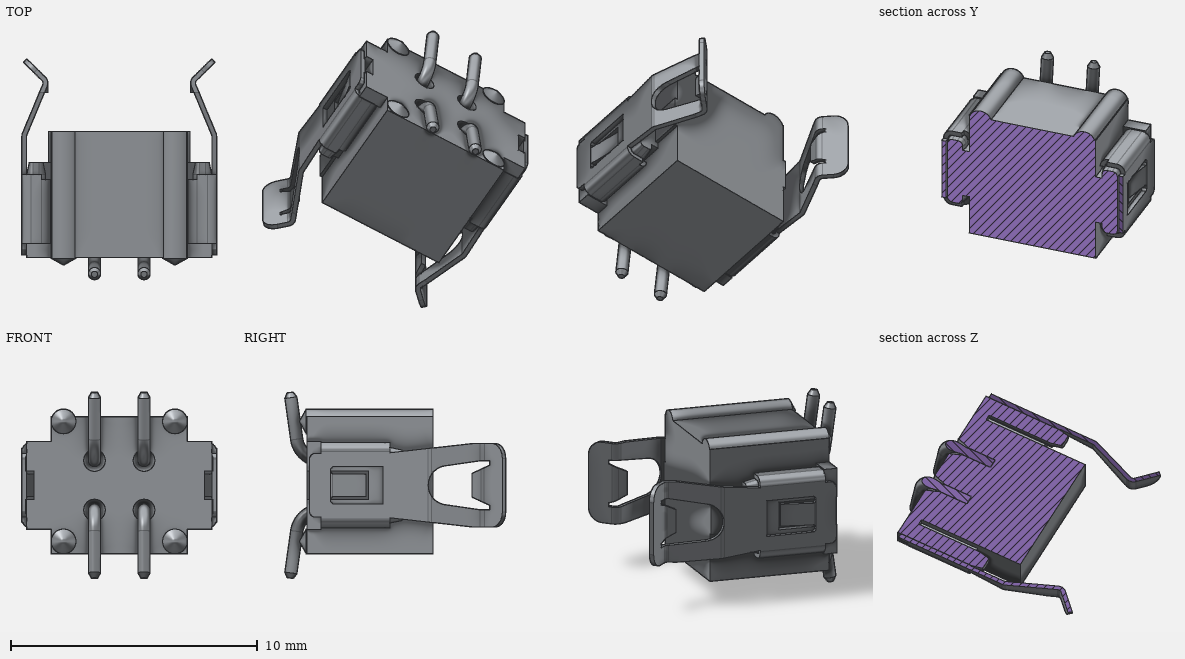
import cadquery as cq
import math


BODY_HALF_X = 2.76
BODY_HALF_Z = 2.78
BODY_DEPTH = 5.12
LEDGE_HALF_X = 2.88
LEDGE_HALF_Z = 0.77

RIB_RADIUS = 0.5
RIB_X = BODY_HALF_X - RIB_RADIUS
TOP_RIB_Z = 2.59
LOW_CONE_Z = RIB_RADIUS - BODY_HALF_Z
RIB_STANDOFF = 0.03
CONE_HEIGHT = 0.28

SHEET = 0.2
BEND_RADIUS = 0.16
CLIP_OUTER_X = 3.95
CLIP_INNER_X = CLIP_OUTER_X - SHEET

WING_FRONT = 0.56
WING_REAR = 3.37
WING_HALF_Z = 1.73
WING_RADIUS = 0.37
WING_WIDTH = 1.165
WING_CENTRE_X = -CLIP_OUTER_X + WING_WIDTH / 2
CURL_REAR = 3.16
PLATE_HALF_Z = WING_HALF_Z - WING_RADIUS

FLANGE_HALF_Z = 1.78
FLANGE_DEPTH = WING_FRONT
BAR_WIDTH = WING_WIDTH - 2 * SHEET
BAR_HALF_Z = WING_HALF_Z - SHEET
BAR_RADIUS = 0.27
BAR_LEAD_LENGTH = 0.49
BAR_LEAD_ANGLE = 12.0
NECK_HALF_Z = 1.075

SLOT_HALF_Z = 0.58
SLOT_REAR = 2.5
SLOT_DEPTH = 0.305

LIP_FRONT = 0.11
LIP_HALF_Z = 1.29
LIP_RADIUS = 0.23
LIP_CHAMFER = 0.05
WINDOW_FRONT = 0.97
WINDOW_REAR = 3.08
WINDOW_HALF_Z = 0.75
WINDOW_CHAMFER = 0.09
TAB_BEND_Y = 1.0
TAB_FLARE_END = 1.04
TAB_REAR = 2.4
TAB_HALF_Z = 0.46
TAB_ROOT_HALF_Z = 0.56
TAB_ANGLE = 12.0

ARM_BEND_Y = 4.98
ARM_ROOT_HALF_Z = 1.32
KNEE_X = -3.06
KNEE_Y = 7.11
TIP_X = -3.89
TIP_Y = 7.92
TIP_HALF_Z = 1.69
TIP_RADIUS = 0.6
ARM_FLARE_END_Y = 6.7

OPENING_FRONT = 4.92
OPENING_ARC_END_Y = 5.57
OPENING_ARC_END_Z = 0.78
OPENING_WIDE_Y = 7.0
OPENING_REAR = 7.41
OPENING_HALF_Z = 0.99
TONGUE_X = -3.08
TONGUE_FRONT = 6.69
TONGUE_TIP_HALF_Z = 0.48
TONGUE_ROOT_HALF_Z = 0.815

PIN_RADIUS = 0.25
PIN_OFFSET = 1.0
PIN_BEND_RADIUS = 1.0
PIN_BEND_START = 0.58
PIN_BEND_ANGLE = math.radians(82)
PIN_INNER_END = 1.79
PIN_TOP_Z = 3.78
PIN_TIP_RADIUS = 0.125
PIN_TIP_LENGTH = 0.215
FUNNEL_RADIUS = 0.44

SPAN = 17.92


def box(x_range, y_range, z_range):
    """Box between two limits along each axis."""
    (x0, x1), (y0, y1), (z0, z1) = x_range, y_range, z_range
    return cq.Workplane("XY").box(x1 - x0, y1 - y0, z1 - z0, centered=False).translate((x0, y0, z0))


def facing_rear(x, y, z):
    """Workplane across the part whose extrusions run toward +Y."""
    return cq.Workplane(cq.Plane(origin=(x, y, z), xDir=(1, 0, 0), normal=(0, 1, 0)))


def cone(x, y, z, base_radius, end_radius, end_y):
    """Cone or cone frustum along Y, from a base at y to end_y."""
    base = cq.Vector(x, y, z)
    direction = cq.Vector(0, math.copysign(1, end_y - y), 0)
    return cq.Workplane(cq.Solid.makeCone(base_radius, end_radius, abs(end_y - y), base, direction))


def rounded_bar(half_z, width, radius, y):
    """Rounded rectangle centred in the clip wings, ready to extrude toward +Y."""
    outline = cq.Sketch().rect(width, 2 * half_z).vertices().fillet(radius)
    return facing_rear(WING_CENTRE_X, y, 0).placeSketch(outline)


def build_pin(x, side):
    """Round pin at x that bends toward +Z (side = 1) or -Z (side = -1)."""
    sin_bend = math.sin(PIN_BEND_ANGLE)
    cos_bend = math.cos(PIN_BEND_ANGLE)

    def on_bend(angle):
        y = PIN_BEND_START - PIN_BEND_RADIUS * math.sin(angle)
        return y, PIN_OFFSET + PIN_BEND_RADIUS * (1 - math.cos(angle))

    bend_end = on_bend(PIN_BEND_ANGLE)
    tip_z = PIN_TOP_Z - PIN_TIP_RADIUS * cos_bend
    leg_length = (tip_z - bend_end[1]) / sin_bend
    shank_length = leg_length - PIN_TIP_LENGTH
    shoulder = (bend_end[0] - shank_length * cos_bend, bend_end[1] + shank_length * sin_bend)

    path = (
        cq.Workplane("YZ", origin=(x, 0, 0))
        .moveTo(PIN_INNER_END, PIN_OFFSET)
        .lineTo(PIN_BEND_START, PIN_OFFSET)
        .threePointArc(on_bend(PIN_BEND_ANGLE / 2), bend_end)
        .lineTo(*shoulder)
    )
    shank = cq.Workplane("XZ", origin=(x, PIN_INNER_END, PIN_OFFSET)).circle(PIN_RADIUS).sweep(path)
    tip = cq.Solid.makeCone(
        PIN_RADIUS,
        PIN_TIP_RADIUS,
        PIN_TIP_LENGTH,
        cq.Vector(x, *shoulder),
        cq.Vector(0, -cos_bend, sin_bend),
    )
    pin = shank.union(cq.Workplane(tip))
    return pin if side > 0 else pin.mirror("XY")


def build_side_bar():
    """Left side of the housing: flange, neck, clip bar with tapered lead-in, and tab slot."""
    flange = box((-CLIP_INNER_X, 0), (0, FLANGE_DEPTH), (-FLANGE_HALF_Z, FLANGE_HALF_Z))
    neck = box((WING_CENTRE_X, 0), (0, WING_REAR + BAR_LEAD_LENGTH), (-NECK_HALF_Z, NECK_HALF_Z))
    bar = rounded_bar(BAR_HALF_Z, BAR_WIDTH, BAR_RADIUS, 0).extrude(WING_REAR)
    lead_in = rounded_bar(BAR_HALF_Z, BAR_WIDTH, BAR_RADIUS, WING_REAR).extrude(
        BAR_LEAD_LENGTH, taper=BAR_LEAD_ANGLE
    )
    slot = box(
        (-CLIP_INNER_X, -CLIP_INNER_X + SLOT_DEPTH),
        (0, SLOT_REAR),
        (-SLOT_HALF_Z, SLOT_HALF_Z),
    )
    return flange.union(neck).union(bar).union(lead_in).cut(slot)


def build_housing(pins):
    """Block with ledges, side bars, ribs, cones and a fitted hole for every pin."""
    housing = box((-BODY_HALF_X, BODY_HALF_X), (0, BODY_DEPTH), (-BODY_HALF_Z, BODY_HALF_Z))
    ledges = box((-LEDGE_HALF_X, LEDGE_HALF_X), (0, BODY_DEPTH), (-LEDGE_HALF_Z, LEDGE_HALF_Z))
    side_bar = build_side_bar()
    housing = housing.union(ledges).union(side_bar).union(side_bar.mirror("YZ"))

    for x in (-RIB_X, RIB_X):
        for z, rear in ((TOP_RIB_Z, BODY_DEPTH), (LOW_CONE_Z, 0)):
            rib = facing_rear(x, -RIB_STANDOFF, z).circle(RIB_RADIUS).extrude(rear + RIB_STANDOFF)
            point = cone(x, -RIB_STANDOFF, z, RIB_RADIUS, 0, -RIB_STANDOFF - CONE_HEIGHT)
            housing = housing.union(rib).union(point)

    for x in (-PIN_OFFSET, PIN_OFFSET):
        for z in (-PIN_OFFSET, PIN_OFFSET):
            housing = housing.cut(cone(x, 0, z, FUNNEL_RADIUS, PIN_RADIUS, PIN_BEND_START))
    for pin in pins:
        housing = housing.cut(pin)
    return housing


def bent_sheet(path, half_z):
    """Sheet whose outer face follows the (X, Y) path, with rounded bends, thickened toward +X."""
    normals = []
    for (x0, y0), (x1, y1) in zip(path, path[1:]):
        length = math.hypot(x1 - x0, y1 - y0)
        normals.append(((y1 - y0) / length, (x0 - x1) / length))
    inner = []
    for (x, y), (ax, ay), (bx, by) in zip(path, normals[:1] + normals, normals + normals[-1:]):
        reach = SHEET / (1 + ax * bx + ay * by)
        inner.append((x + reach * (ax + bx), y + reach * (ay + by)))
    sheet = cq.Workplane("XY").polyline(path + inner[::-1]).close().extrude(half_z, both=True)

    for bend in range(1, len(path) - 1):
        (ax, ay), (bx, by) = normals[bend - 1], normals[bend]
        turns_inward = ax * by < ay * bx
        convex, concave = (path, inner) if turns_inward else (inner, path)
        for (x, y), radius in ((convex[bend], BEND_RADIUS + SHEET), (concave[bend], BEND_RADIUS)):
            sheet = sheet.edges(cq.NearestToPointSelector((x, y, 0))).fillet(radius)
    return sheet


def side_prism(half_outline):
    """Prism along X over a (Y, Z) half outline mirrored about Z = 0."""
    mirrored = [(y, -z) for y, z in reversed(half_outline)]
    return cq.Workplane("YZ").polyline(half_outline + mirrored).close().extrude(SPAN, both=True)


def build_wings():
    """C-shaped wrap of the sheet around the housing bar."""
    length = WING_REAR - WING_FRONT
    wrap = rounded_bar(WING_HALF_Z, WING_WIDTH, WING_RADIUS, WING_FRONT).extrude(length)
    inside = rounded_bar(BAR_HALF_Z, BAR_WIDTH, WING_RADIUS - SHEET, WING_FRONT).extrude(length)
    gap = box((WING_CENTRE_X, 0), (0, SPAN), (-PLATE_HALF_Z, PLATE_HALF_Z))
    curl_start_x = WING_CENTRE_X + WING_WIDTH / 2 - WING_RADIUS
    curl_trim = box((curl_start_x, 0), (CURL_REAR, SPAN), (-SPAN, SPAN))
    return wrap.cut(inside).cut(gap).cut(curl_trim)


def build_opening():
    """Opening between the arm's legs: a round front end running into straight, widening sides."""
    return (
        cq.Workplane("YZ")
        .moveTo(OPENING_REAR, -OPENING_HALF_Z)
        .lineTo(OPENING_WIDE_Y, -OPENING_HALF_Z)
        .lineTo(OPENING_ARC_END_Y, -OPENING_ARC_END_Z)
        .threePointArc((OPENING_FRONT, 0), (OPENING_ARC_END_Y, OPENING_ARC_END_Z))
        .lineTo(OPENING_WIDE_Y, OPENING_HALF_Z)
        .lineTo(OPENING_REAR, OPENING_HALF_Z)
        .close()
        .extrude(SPAN, both=True)
    )


def build_arm():
    """Plate and spring arm in one bent sheet, with rounded corners, opening and tongue."""
    tip = (TIP_X, TIP_Y)
    plate_path = [(-CLIP_OUTER_X, LIP_FRONT), (-CLIP_OUTER_X, ARM_BEND_Y)]
    sheet = bent_sheet(plate_path + [(KNEE_X, KNEE_Y), tip], TIP_HALF_Z)
    sheet = sheet.edges(cq.NearestToPointSelector((-CLIP_INNER_X, LIP_FRONT, 0))).chamfer(LIP_CHAMFER)
    sharp_lip = box(
        (-CLIP_OUTER_X, -CLIP_INNER_X),
        (LIP_FRONT, WING_FRONT),
        (-SLOT_HALF_Z, SLOT_HALF_Z),
    )
    sheet = sheet.union(sharp_lip)

    outline = side_prism(
        [
            (LIP_FRONT, LIP_HALF_Z),
            (WING_FRONT, LIP_HALF_Z),
            (WING_FRONT, PLATE_HALF_Z),
            (WING_REAR, PLATE_HALF_Z),
            (WING_REAR, ARM_ROOT_HALF_Z),
            (ARM_FLARE_END_Y, TIP_HALF_Z),
            (SPAN, TIP_HALF_Z),
        ]
    )
    outline = outline.edges("|X and <Y").fillet(LIP_RADIUS)
    arm = sheet.intersect(outline)
    for z in (-TIP_HALF_Z, TIP_HALF_Z):
        corner = cq.NearestToPointSelector((TIP_X + SHEET / 2, TIP_Y + SHEET / 2, z))
        arm = arm.edges(corner).fillet(TIP_RADIUS)

    tip_slope = (TIP_Y - KNEE_Y) / (TIP_X - KNEE_X)
    tongue_bend = (TONGUE_X, KNEE_Y + (TONGUE_X - KNEE_X) * tip_slope)
    tongue = bent_sheet([(TONGUE_X, TONGUE_FRONT), tongue_bend, tip], TIP_HALF_Z).intersect(
        side_prism([(TONGUE_FRONT, TONGUE_TIP_HALF_Z), (OPENING_REAR, TONGUE_ROOT_HALF_Z)])
    )
    return arm.cut(build_opening()).union(tongue)


def build_tab():
    """Locking tab, hinged at the front of the window and leaning inward toward the rear."""
    lean = (TAB_REAR - TAB_BEND_Y) * math.tan(math.radians(TAB_ANGLE))
    path = [
        (-CLIP_OUTER_X, LIP_FRONT),
        (-CLIP_OUTER_X, TAB_BEND_Y),
        (-CLIP_OUTER_X + lean, TAB_REAR),
    ]
    outline = side_prism(
        [(WINDOW_FRONT, TAB_ROOT_HALF_Z), (TAB_FLARE_END, TAB_HALF_Z), (TAB_REAR, TAB_HALF_Z)]
    )
    return bent_sheet(path, SLOT_HALF_Z).intersect(outline)


def build_clip(side):
    """Clip on the -X side (side = -1) or the +X side (side = 1) of the housing."""
    window = box(
        (-CLIP_OUTER_X, -CLIP_INNER_X),
        (WINDOW_FRONT, WINDOW_REAR),
        (-WINDOW_HALF_Z, WINDOW_HALF_Z),
    )
    window = window.edges("|X and <Y").chamfer(WINDOW_CHAMFER)
    clip = build_arm().union(build_wings()).cut(window).union(build_tab())
    return clip if side < 0 else clip.mirror("YZ")


pins = [build_pin(x, side) for x in (-PIN_OFFSET, PIN_OFFSET) for side in (-1, 1)]
clips = [build_clip(side) for side in (-1, 1)]
housing = build_housing(pins)

result = cq.Compound.makeCompound([housing.val(), *[body.val() for body in pins + clips]])